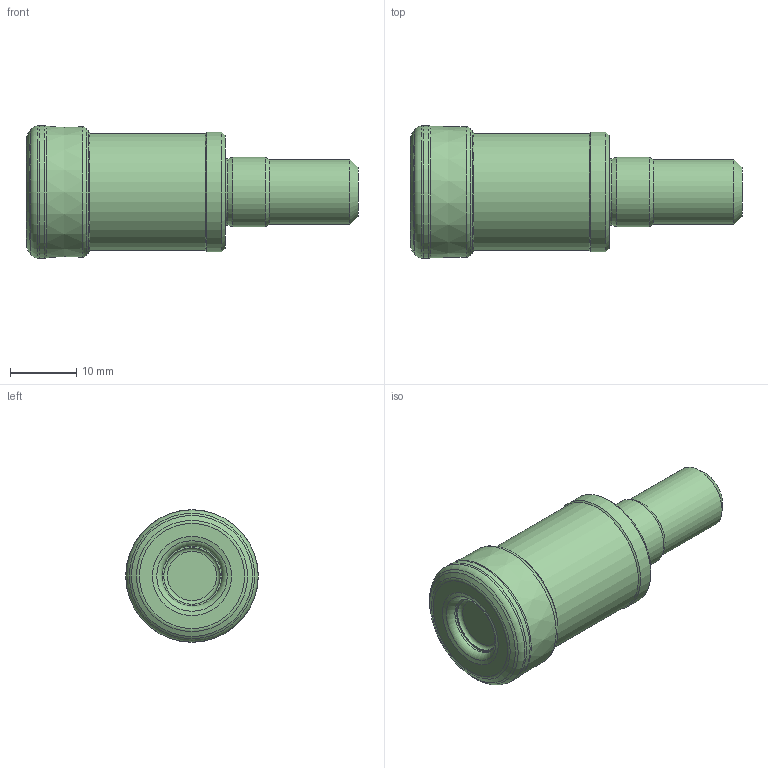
import cadquery as cq
import math


overall_length = 50.0
housing_end = 30.0

cap_bore_radius = 4.5
cap_front_thickness = 1.5
rim_cone_outer_radius = 5.95
rim_cone_inner_radius = 5.3
rim_cone_depth = 0.17
rim_slope = math.atan2(rim_cone_depth, rim_cone_outer_radius - rim_cone_inner_radius)
rim_fillet = (rim_cone_inner_radius - cap_bore_radius) / (1 - math.sin(rim_slope))
rim_centre_x = rim_cone_depth + rim_fillet * math.cos(rim_slope)
rim_centre_radius = cap_bore_radius + rim_fillet
cap_face_radius = 7.92
front_cone_start_x = 0.12
front_cone_start_radius = 8.37
front_cone_end_x = 0.48
front_cone_end_radius = 9.12
shoulder_start_x = 0.75
shoulder_start_radius = 9.45
shoulder_end_x = 1.66
shoulder_end_radius = 9.94
band_radius = 9.985
band_start = 2.0
band_end = 2.76
skirt_start = 3.09
skirt_start_radius = 9.9
skirt_end = 8.48
skirt_end_radius = 9.82
tail_round_end = 9.1
tail_round_end_radius = 9.54
tail_bevel_end = 9.4
tail_bevel_end_radius = 9.27
cap_length = 9.6
cap_rear_radius = 9.0

housing_radius = 17.6 / 2
recess_radius = 4.25
recess_depth = 0.6
recess_fillet = 0.55
collar_radius = 18.0 / 2
collar_ramp_start = 27.0
collar_start = 27.25
collar_edge_chamfer = 0.55

neck_radius = 10.0 / 2
neck_end = 30.42
pilot_radius = 10.5 / 2
pilot_start = 31.17
pilot_end = 36.0
stud_radius = 9.75 / 2
stud_start = 36.6
tip_chamfer_length = 1.25
tip_chamfer_depth = 1.15

diagonal = math.sqrt(0.5)


def revolve_about_x(profile):
    return profile.close().revolve(360, (0, 0, 0), (1, 0, 0))


def rim_point(angle):
    """Point on the bore rim fillet: 0 degrees faces forward, 90 degrees faces the axis."""
    return (
        rim_centre_x - rim_fillet * math.cos(angle),
        rim_centre_radius - rim_fillet * math.sin(angle),
    )


def make_cap():
    """Cap with a rounded central bore, pushed over the front end of the housing."""
    quarter_turn = math.pi / 2
    rim_start = rim_point(rim_slope)
    rim_middle = rim_point((rim_slope + quarter_turn) / 2)
    rim_end = rim_point(quarter_turn)
    profile = (
        cq.Workplane("XY")
        .moveTo(cap_front_thickness, cap_bore_radius)
        .lineTo(*rim_end)
        .threePointArc(rim_middle, rim_start)
        .lineTo(0, rim_cone_outer_radius)
        .lineTo(0, cap_face_radius)
        .tangentArcPoint((front_cone_start_x, front_cone_start_radius), relative=False)
        .lineTo(front_cone_end_x, front_cone_end_radius)
        .lineTo(shoulder_start_x, shoulder_start_radius)
        .tangentArcPoint((shoulder_end_x, shoulder_end_radius), relative=False)
        .lineTo(band_start, band_radius)
        .lineTo(band_end, band_radius)
        .lineTo(skirt_start, skirt_start_radius)
        .lineTo(skirt_end, skirt_end_radius)
        .tangentArcPoint((tail_round_end, tail_round_end_radius), relative=False)
        .lineTo(tail_bevel_end, tail_bevel_end_radius)
        .lineTo(cap_length, cap_rear_radius)
        .lineTo(cap_length, housing_radius)
        .lineTo(cap_front_thickness, housing_radius)
    )
    return revolve_about_x(profile)


def make_housing():
    """Cylindrical housing with a front recess, a rear collar and a stepped stud."""
    recess_floor = cap_front_thickness + recess_depth
    fillet_inset = recess_fillet * (1 - diagonal)
    profile = (
        cq.Workplane("XY")
        .moveTo(recess_floor, 0)
        .lineTo(recess_floor, recess_radius - recess_fillet)
        .threePointArc(
            (recess_floor - fillet_inset, recess_radius - fillet_inset),
            (recess_floor - recess_fillet, recess_radius),
        )
        .lineTo(cap_front_thickness, recess_radius)
        .lineTo(cap_front_thickness, housing_radius)
        .lineTo(collar_ramp_start, housing_radius)
        .lineTo(collar_start, collar_radius)
        .lineTo(housing_end - collar_edge_chamfer, collar_radius)
        .lineTo(housing_end, collar_radius - collar_edge_chamfer)
        .lineTo(housing_end, neck_radius)
        .lineTo(neck_end, neck_radius)
        .lineTo(pilot_start, pilot_radius)
        .lineTo(pilot_end, pilot_radius)
        .lineTo(stud_start, stud_radius)
        .lineTo(overall_length - tip_chamfer_length, stud_radius)
        .lineTo(overall_length, stud_radius - tip_chamfer_depth)
        .lineTo(overall_length, 0)
    )
    return revolve_about_x(profile)


cap = make_cap()
housing = make_housing()

result = cq.Compound.makeCompound([cap.val(), housing.val()])